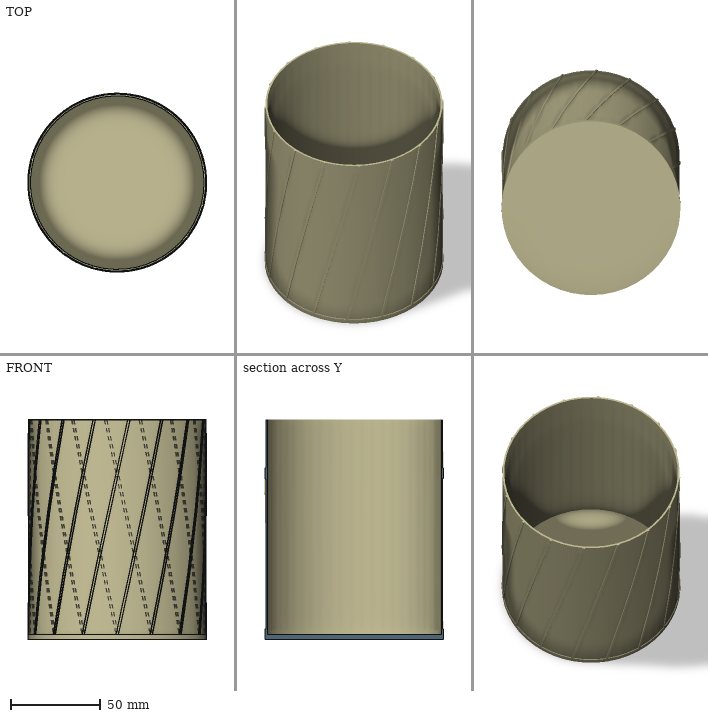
import cadquery as cq

total_height = 123.0
base_diameter = 100.0
inner_diameter = 97.0
wall_thickness = 1.0
base_height = 3.0

rib_count = 16
rib_width = 1.4
rib_twist = 30.0

base_radius = base_diameter / 2
inner_radius = inner_diameter / 2
wall_radius = inner_radius + wall_thickness
wall_height = total_height - base_height
rib_root_radius = inner_radius + wall_thickness / 2


def make_base():
    """Solid disc that closes the bottom of the cup."""
    return cq.Workplane("XY").circle(base_radius).extrude(base_height)


def make_wall():
    """Thin tube standing on the base."""
    return (
        cq.Workplane("XY", origin=(0, 0, base_height))
        .circle(wall_radius)
        .circle(inner_radius)
        .extrude(wall_height)
    )


def make_rib():
    """One rib starting on the -Y side and twisting counterclockwise as it rises."""
    rib_depth = base_radius - rib_root_radius
    rib_center = rib_root_radius + rib_depth / 2
    return (
        cq.Workplane("XY", origin=(0, 0, base_height))
        .center(0, -rib_center)
        .rect(rib_width, rib_depth)
        .center(0, rib_center)
        .twistExtrude(wall_height, rib_twist)
    )


result = make_base().union(make_wall())
rib = make_rib()
for index in range(rib_count):
    angle = index * 360 / rib_count
    result = result.union(rib.rotate((0, 0, 0), (0, 0, 1), angle))